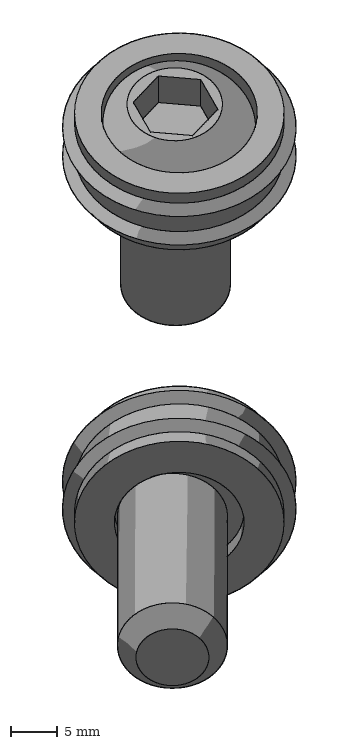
import cadquery as cq

ring_height = 9.55
ring_radius = 11.4
ridged_radius = 12.7
ridge_half_width = 0.7
ridge_inset = 2.37
bore_radius = 8.48
floor_thickness = 2.0
floor_hole_radius = 7.05

overall_height = 32.0
head_radius = 8.3
crown_above_ring = 0.13
crown_flat_radius = 5.2
crown_sphere_radius = 12.48
crown_offset = -1.25
shank_offset = -1.02
shank_radius = 6.0
tip_chamfer = 2.0
socket_across_flats = 8.0
socket_depth = 4.48

crown_top = ring_height + crown_above_ring
shank_length = overall_height - crown_top + floor_thickness


def make_ridge(crest_height):
    """Sharp V-section band around the ring, rooted inside its wall."""
    lower_edge = crest_height - ridge_half_width
    upper_edge = crest_height + ridge_half_width
    return (
        cq.Workplane("XZ")
        .moveTo(bore_radius, lower_edge)
        .lineTo(ring_radius, lower_edge)
        .lineTo(ridged_radius, crest_height)
        .lineTo(ring_radius, upper_edge)
        .lineTo(bore_radius, upper_edge)
        .close()
        .revolve(360, (0, 0, 0), (0, 1, 0))
    )


def make_ring():
    """Ridged cup with a bore for the head and a hole for the shank in its floor."""
    ring = cq.Workplane("XY").circle(ring_radius).circle(floor_hole_radius).extrude(ring_height)
    bore = (
        cq.Workplane("XY")
        .workplane(offset=floor_thickness)
        .circle(bore_radius)
        .extrude(ring_height - floor_thickness)
    )
    ring = ring.cut(bore)
    for crest_height in (ridge_inset, ring_height - ridge_inset):
        ring = ring.union(make_ridge(crest_height))
    return ring


def make_head():
    """Round head under an off-centre spherical crown with a flat top."""
    flat_above_centre = (crown_sphere_radius**2 - crown_flat_radius**2) ** 0.5
    sphere_centre = (crown_offset, 0, crown_top - flat_above_centre)
    crown = cq.Workplane("XY").sphere(crown_sphere_radius).translate(sphere_centre)
    head = (
        cq.Workplane("XY")
        .workplane(offset=floor_thickness)
        .circle(head_radius)
        .extrude(crown_top - floor_thickness)
    )
    return head.intersect(crown)


def make_shank():
    """Chamfered shank hanging from the underside of the head."""
    return (
        cq.Workplane("XY")
        .workplane(offset=floor_thickness)
        .center(shank_offset, 0)
        .circle(shank_radius)
        .extrude(-shank_length)
        .faces("<Z")
        .chamfer(tip_chamfer)
    )


def make_socket():
    """Hexagonal key socket with two flats parallel to X."""
    across_corners = socket_across_flats * 2 / 3**0.5
    return (
        cq.Workplane("XY")
        .workplane(offset=crown_top)
        .center(shank_offset, 0)
        .polygon(6, across_corners)
        .extrude(-socket_depth)
    )


def make_cam_screw():
    return make_head().union(make_shank()).cut(make_socket())


ring = make_ring()
cam_screw = make_cam_screw()
result = cq.Compound.makeCompound([ring.solids().val(), cam_screw.solids().val()])